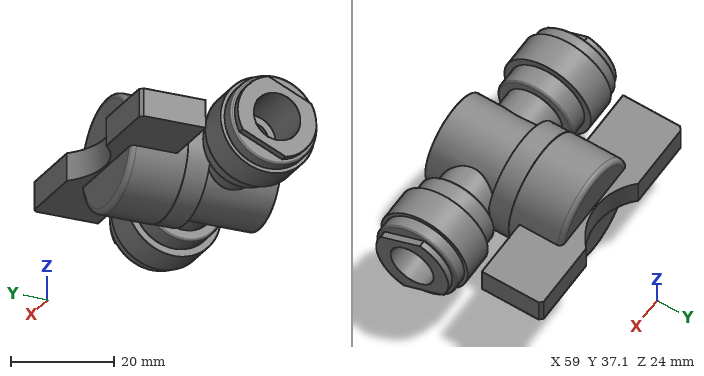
import cadquery as cq


hub_diameter = 19.8
hub_front_y = -hub_diameter / 2
flange_diameter = 23.7
flange_front_y = 5.95
seam_y = 10.8

port_end_x = 29.5
ring_end_x = 28.0
collar_outer_x = 25.2
collar_inner_x = 18.1
neck_inner_x = 13.5
tube_diameter = 13.0
neck_diameter = 17.1
collar_diameter = 20.1
ring_diameter = 18.5
port_end_diameter = 16.75
edge_fillet = 0.35
flat_offset = 6.7
flat_angle = 24.2
bore_diameter = 6.9
socket_diameter = 10.0
socket_depth = port_end_x - collar_inner_x

cap_diameter = 23.95
cap_back_y = 22.85
cap_fillet = 1.05
lever_length = 49.7
lever_thickness = 5.9
lever_front_y = 13.1
overall_depth = 37.05
lever_back_y = overall_depth - collar_diameter / 2
lever_corner = 0.7
scoop_width = 18.25
scoop_bottom_y = 23.2


def cylinder_y(diameter, start_y, end_y):
    """Cylinder about the Y axis."""
    plane = cq.Plane(origin=(0, start_y, 0), xDir=(1, 0, 0), normal=(0, 1, 0))
    return cq.Workplane(plane).circle(diameter / 2).extrude(end_y - start_y)


def cylinder_x(diameter, start_x, end_x):
    """Cylinder about the X axis."""
    return cq.Workplane("YZ", origin=(start_x, 0, 0)).circle(diameter / 2).extrude(end_x - start_x)


def make_port():
    """Stepped port on the +X side, with two wrench flats on its end."""
    tube = cylinder_x(tube_diameter, 0, ring_end_x)
    neck = cylinder_x(neck_diameter, neck_inner_x, collar_inner_x).faces("<X").fillet(edge_fillet)
    collar = cylinder_x(collar_diameter, collar_inner_x, collar_outer_x)
    ring = cylinder_x(ring_diameter, collar_outer_x, ring_end_x).faces(">X").fillet(edge_fillet)
    flats = (
        cq.Workplane("YZ", origin=(ring_end_x, 0, 0))
        .rect(port_end_diameter, 2 * flat_offset)
        .extrude(port_end_x - ring_end_x)
        .rotate((0, 0, 0), (1, 0, 0), flat_angle)
    )
    port_end = cylinder_x(port_end_diameter, ring_end_x, port_end_x).intersect(flats)
    return tube.union(neck).union(collar).union(ring).union(port_end)


def make_valve_body():
    """Hub with a flange and two opposite ports, bored through along X."""
    hub = cylinder_y(hub_diameter, hub_front_y, flange_front_y)
    flange = cylinder_y(flange_diameter, flange_front_y, seam_y)
    port = make_port()
    body = hub.union(flange).union(port).union(port.mirror("YZ"))
    body = body.cut(cylinder_x(bore_diameter, -port_end_x, port_end_x))
    socket = cylinder_x(socket_diameter, port_end_x - socket_depth, port_end_x)
    return body.cut(socket).cut(socket.mirror("YZ"))


def make_handle():
    """Round cap with a flat cross lever, scooped out at the middle of its back edge."""
    cap = cylinder_y(cap_diameter, seam_y, cap_back_y).faces(">Y").edges().fillet(cap_fillet)
    half_length = lever_length / 2
    lever = (
        cq.Workplane("XY", origin=(0, 0, -lever_thickness / 2))
        .moveTo(-half_length, lever_front_y)
        .lineTo(half_length, lever_front_y)
        .lineTo(half_length, lever_back_y - lever_corner)
        .lineTo(half_length - lever_corner, lever_back_y)
        .lineTo(scoop_width / 2, lever_back_y)
        .threePointArc((0, scoop_bottom_y), (-scoop_width / 2, lever_back_y))
        .lineTo(-half_length + lever_corner, lever_back_y)
        .lineTo(-half_length, lever_back_y - lever_corner)
        .close()
        .extrude(lever_thickness)
    )
    return cap.union(lever)


valve_body = make_valve_body()
handle = make_handle()

result = cq.Compound.makeCompound([valve_body.val(), handle.val()])